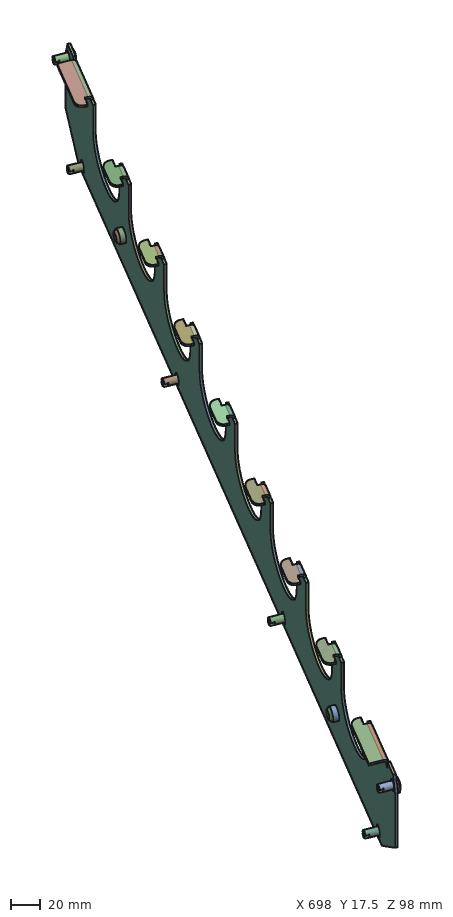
import cadquery as cq
import math


overall_length = 698.0
overall_depth = 17.5

plate_length = 696.5
plate_height = 98.0
sheet = 2.0
bend_inner_radius = 2.0
bend_outer_radius = bend_inner_radius + sheet
shoulder_z = plate_height - bend_outer_radius
bottom_chamfer = 28.0
top_corner_cut_x = 4.0
top_corner_cut_z = 14.0

notch_count = 8
notch_span = 525.0
notch_pitch = notch_span / (notch_count - 1)
notch_width = 55.0
notch_radius = notch_width / 2
notch_bottom_z = 38.5
finger_width = notch_pitch - notch_width
finger_count = notch_count - 1
end_notch_wall_x = (notch_span + notch_width) / 2

pin_radius = 3.1
pin_length = 10.5
pin_split_width = 2.5
pin_split_depth = 3.5
pin_tip_chamfer = 1.0
head_radius = 6.0
head_height = 3.2
head_rim = 1.5
slot_width = 6.55
slot_height = 10.0
top_pin_x = overall_length / 2 - head_radius
top_pin_z = 86.0
bottom_pin_z = 7.0
outer_bottom_pin_x = 313.0
inner_bottom_pin_x = 1.5 * notch_pitch

tab_reach = overall_depth - sheet - head_height
tab_overhang = 1.55
neck_inset = 5.0
tab_wide_start = 4.0
tab_corner_radius = 5.5
end_tab_outer_x = 329.5

relief_width = 3.0
relief_depth = 5.5
ear_inner_x = end_tab_outer_x + relief_width

button_radius = 5.5
button_height = 6.0
button_chamfer = 2.0
button_x = 3 * notch_pitch
button_z = 32.0

pin_places = [
    (side * x, z)
    for side in (-1, 1)
    for x, z in (
        (top_pin_x, top_pin_z),
        (outer_bottom_pin_x, bottom_pin_z),
        (inner_bottom_pin_x, bottom_pin_z),
    )
]


def front_plane(y):
    """Workplane at depth y whose local axes are X and Z and whose normal is -Y."""
    return cq.Workplane("XZ", origin=(0, y, 0))


def row_places(count):
    """X positions of a centered row of items spaced at the notch pitch."""
    return [(i - (count - 1) / 2) * notch_pitch for i in range(count)]


def make_blank():
    """Flat plate up to the finger shoulders, with the full-height ears at the ends."""
    half = plate_length / 2
    return (
        front_plane(sheet)
        .moveTo(-half + bottom_chamfer, 0)
        .lineTo(half - bottom_chamfer, 0)
        .lineTo(half, bottom_chamfer)
        .lineTo(half, plate_height - top_corner_cut_z)
        .lineTo(half - top_corner_cut_x, plate_height)
        .lineTo(ear_inner_x, plate_height)
        .lineTo(ear_inner_x, shoulder_z)
        .lineTo(-ear_inner_x, shoulder_z)
        .lineTo(-ear_inner_x, plate_height)
        .lineTo(-half + top_corner_cut_x, plate_height)
        .lineTo(-half, plate_height - top_corner_cut_z)
        .lineTo(-half, bottom_chamfer)
        .close()
        .extrude(sheet)
    )


def make_notch(center_x):
    """Cutter for one round-bottomed notch, open at the top."""
    arc_z = notch_bottom_z + notch_radius
    left = center_x - notch_radius
    right = center_x + notch_radius
    return (
        front_plane(sheet)
        .moveTo(left, plate_height)
        .lineTo(left, arc_z)
        .threePointArc((center_x, notch_bottom_z), (right, arc_z))
        .lineTo(right, plate_height)
        .close()
        .extrude(sheet)
    )


def make_relief(side):
    """Cutter for the relief between an ear and its end tab."""
    center_x = side * (end_tab_outer_x + relief_width / 2)
    return (
        front_plane(sheet)
        .center(center_x, plate_height - relief_depth / 2)
        .rect(relief_width, relief_depth)
        .extrude(sheet)
    )


def make_tab_strip(left, right):
    """L-shaped bent strip that rises from the shoulder and runs forward to the tab tip."""
    mid = math.cos(math.radians(45))
    bend_y = -bend_inner_radius
    return (
        cq.Workplane("YZ", origin=(left, 0, 0))
        .moveTo(sheet, shoulder_z)
        .threePointArc(
            (bend_y + mid * bend_outer_radius, shoulder_z + mid * bend_outer_radius),
            (bend_y, plate_height),
        )
        .lineTo(-tab_reach, plate_height)
        .lineTo(-tab_reach, plate_height - sheet)
        .lineTo(bend_y, plate_height - sheet)
        .threePointArc(
            (bend_y + mid * bend_inner_radius, shoulder_z + mid * bend_inner_radius),
            (0, shoulder_z),
        )
        .close()
        .extrude(right - left)
    )


def make_neck_cut(neck_x, tip_x):
    """Cutter that narrows a tab between the plate and its wide part."""
    return cq.Workplane("XY").box(
        abs(tip_x - neck_x),
        tab_wide_start + sheet,
        bend_outer_radius,
        centered=(True, False, False),
    ).translate(((neck_x + tip_x) / 2, -tab_wide_start, shoulder_z))


def make_finger_tab(center_x):
    """Tab with a narrow neck at the bend, a wider hook and two rounded tip corners."""
    half_width = finger_width / 2 + tab_overhang
    half_neck = finger_width / 2 - neck_inset
    tab = make_tab_strip(center_x - half_width, center_x + half_width)
    tab = tab.edges("|Z and <Y").fillet(tab_corner_radius)
    for side in (-1, 1):
        tab = tab.cut(make_neck_cut(center_x + side * half_neck, center_x + side * half_width))
    return tab


def make_end_tab(side):
    """Long tab on an end plate, necked and rounded only beside the notch."""
    tip_x = side * (end_notch_wall_x - tab_overhang)
    neck_x = side * (end_notch_wall_x + neck_inset)
    outer_x = side * end_tab_outer_x
    tab = make_tab_strip(min(tip_x, outer_x), max(tip_x, outer_x))
    notch_side = ">X" if side < 0 else "<X"
    tab = tab.edges("|Z and <Y").edges(notch_side).fillet(tab_corner_radius)
    return tab.cut(make_neck_cut(neck_x, tip_x))


def make_plate():
    """Notched plate with its bent tabs, ears and pin slots, as one solid."""
    plate = make_blank()
    for x in row_places(notch_count):
        plate = plate.cut(make_notch(x))
    for x in row_places(finger_count):
        plate = plate.union(make_finger_tab(x))
    for side in (-1, 1):
        plate = plate.union(make_end_tab(side)).cut(make_relief(side))
    slots = front_plane(sheet).pushPoints(pin_places).slot2D(slot_height, slot_width, 90).extrude(sheet)
    return plate.cut(slots)


def make_pin(x, z):
    """Pin with a domed head behind the plate and a split, tapered end in front."""
    shank = front_plane(sheet).circle(pin_radius).extrude(pin_length + sheet)
    shank = shank.faces("<Y").chamfer(pin_tip_chamfer)
    split = (
        front_plane(pin_split_depth - pin_length)
        .rect(2 * pin_radius, pin_split_width)
        .extrude(pin_split_depth)
    )
    dome_rise = head_height - head_rim
    dome_radius = (head_radius**2 + dome_rise**2) / (2 * dome_rise)
    dome_center_y = sheet + head_height - dome_radius
    dome = cq.Workplane("XY").sphere(dome_radius).translate((0, dome_center_y, 0))
    head = front_plane(sheet + head_height).circle(head_radius).extrude(head_height).intersect(dome)
    return shank.cut(split).union(head).translate((x, 0, z))


def make_button(x, z):
    """Round button with a beveled rim, seated on the front of the plate."""
    button = front_plane(0).circle(button_radius).extrude(button_height)
    return button.faces("<Y").edges().chamfer(button_chamfer).translate((x, 0, z))


plate = make_plate()
pins = [make_pin(x, z) for x, z in pin_places]
buttons = [make_button(side * button_x, button_z) for side in (-1, 1)]

result = cq.Compound.makeCompound(
    [
        plate.val(),
        *[pin.val() for pin in pins],
        *[button.val() for button in buttons],
    ]
)